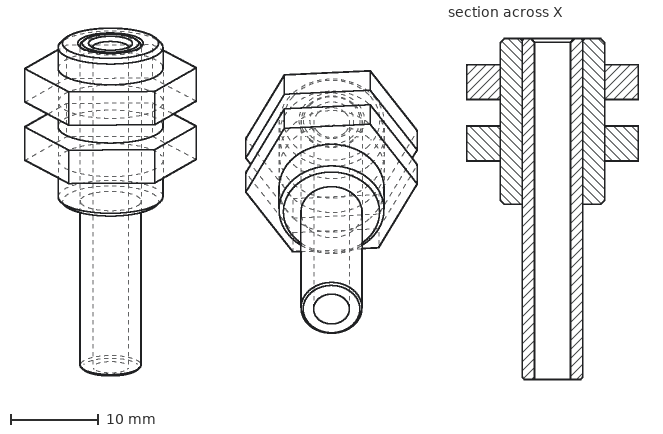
import cadquery as cq

total_length = 39.0

tube_diameter = 7.0
tube_edge_chamfer = 0.25
bore_diameter = 4.1
bore_mouth_chamfer = 0.45

housing_diameter = 12.0
housing_length = 19.0
housing_chamfer = 0.5
housing_base = total_length - housing_length

nut_across_flats = 17.0
nut_thickness = 4.0
nut_gap = 3.0
top_nut_setback = 3.0
nut_count = 2
nut_pitch = nut_thickness + nut_gap
top_nut_base = total_length - top_nut_setback - nut_thickness
nut_corner_diameter = nut_across_flats * 2 / 3**0.5


def make_tube():
    """Long tube with a through bore, chamfered at both outer ends and at the bore mouth."""
    tube = cq.Workplane("XY").circle(tube_diameter / 2).extrude(total_length)
    tube = tube.faces("<Z or >Z").edges().chamfer(tube_edge_chamfer)
    tube = tube.faces(">Z").workplane().hole(bore_diameter)
    bore_mouth = tube.faces(">Z").edges(cq.selectors.RadiusNthSelector(0))
    return bore_mouth.chamfer(bore_mouth_chamfer)


def make_housing():
    """Sleeve around the tube; the top chamfer of its hole forms a V groove with the tube."""
    base_plane = cq.Workplane("XY", origin=(0, 0, housing_base))
    housing = base_plane.circle(housing_diameter / 2).extrude(housing_length)
    housing = housing.faces("<Z or >Z").edges().chamfer(housing_chamfer)
    housing = housing.faces(">Z").workplane().hole(tube_diameter)
    hole_mouth = housing.faces(">Z").edges(cq.selectors.RadiusNthSelector(0))
    return hole_mouth.chamfer(tube_edge_chamfer)


def make_nut(base):
    """Plain hexagonal nut with two flats facing along X."""
    return (
        cq.Workplane("XY", origin=(0, 0, base))
        .transformed(rotate=(0, 0, 30))
        .polygon(6, nut_corner_diameter)
        .circle(housing_diameter / 2)
        .extrude(nut_thickness)
    )


tube = make_tube()
housing = make_housing()
nuts = [make_nut(top_nut_base - i * nut_pitch) for i in range(nut_count)]

result = cq.Compound.makeCompound([tube.val(), housing.val(), *[nut.val() for nut in nuts]])